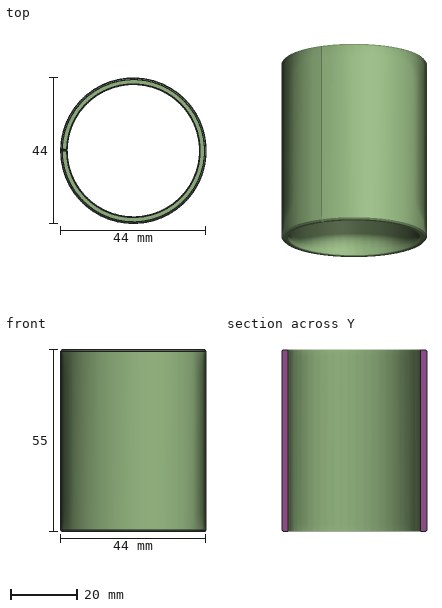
import cadquery as cq

outer_diameter = 44.0
bore_diameter = 40.0
length = 55.0
outer_chamfer = 0.5
bore_chamfer = 0.2
seam_angle = 1.0

outer_radius = outer_diameter / 2
bore_radius = bore_diameter / 2
half_length = length / 2
full_turn = 360.0


def wall_section():
    """Chamfered wall profile in the XZ plane, on the -X side of the axis."""
    outer_rim_radius = outer_radius - outer_chamfer
    outer_edge_height = half_length - outer_chamfer
    bore_rim_radius = bore_radius + bore_chamfer
    bore_edge_height = half_length - bore_chamfer
    return (
        cq.Workplane("XZ")
        .moveTo(-bore_radius, -bore_edge_height)
        .lineTo(-bore_rim_radius, -half_length)
        .lineTo(-outer_rim_radius, -half_length)
        .lineTo(-outer_radius, -outer_edge_height)
        .lineTo(-outer_radius, outer_edge_height)
        .lineTo(-outer_rim_radius, half_length)
        .lineTo(-bore_rim_radius, half_length)
        .lineTo(-bore_radius, bore_edge_height)
        .close()
    )


def split_bushing():
    """Revolve the wall counter-clockwise about Z, stopping short of a full turn to leave the seam."""
    return wall_section().revolve(full_turn - seam_angle, (0, 0), (0, 1))


result = split_bushing()